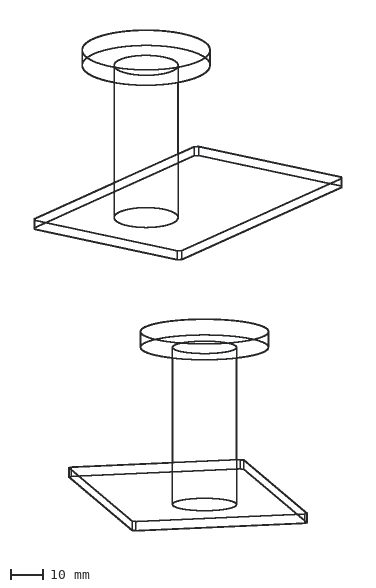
import cadquery as cq

plate_width = 56.0
plate_length = 90.0
plate_thickness = 3.0
corner_chamfer = 1.0

overall_height = 58.0
post_diameter = 20.0
disc_diameter = 2 * post_diameter
disc_thickness = 5.0
knob_edge_distance = 22.0

knob_y = knob_edge_distance - plate_length / 2
disc_bottom = overall_height - disc_thickness


def make_plate():
    """Flat rectangular plate with its vertical corners chamfered."""
    plate = cq.Workplane("XY").rect(plate_width, plate_length).extrude(plate_thickness)
    return plate.edges("|Z").chamfer(corner_chamfer)


def make_knob_cylinder(diameter, bottom, top):
    """Cylinder on the knob axis between two heights."""
    base = cq.Workplane("XY", origin=(0, knob_y, bottom))
    return base.circle(diameter / 2).extrude(top - bottom)


post = make_knob_cylinder(post_diameter, plate_thickness, disc_bottom)
disc = make_knob_cylinder(disc_diameter, disc_bottom, overall_height)

result = make_plate().union(post).union(disc)